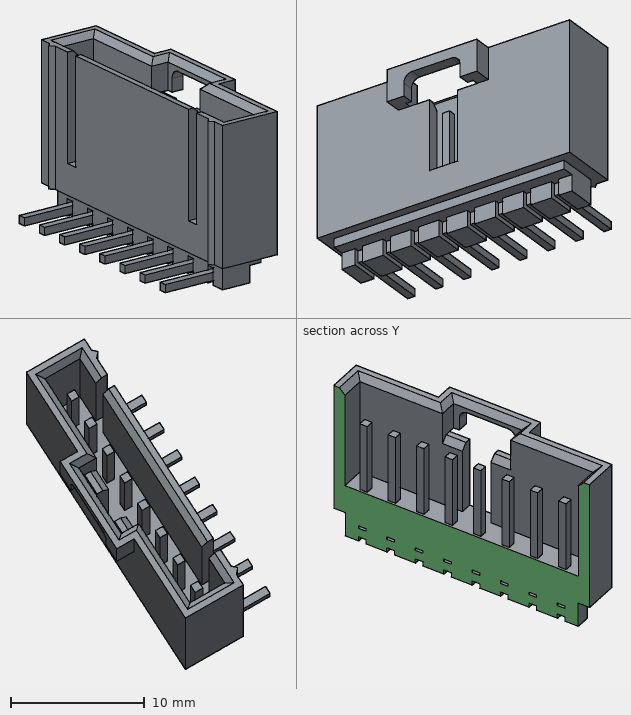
import cadquery as cq


pin_count = 8
pitch = 2.54
pin_size = 0.66
pin_height = 6.1
tail_end_y = -6.226
bend_chamfer = 0.35

shell_length = (pin_count + 1) * pitch
shell_width = 5.08
shell_height = 11.43
wall = 1.016
lip = wall / 2
floor_z = 2.54

tab_length = 8.128
tab_reach = 1.524
tab_height = 2.77
key_slot_width = 2.54
window_width = 5.08
window_top_depth = 0.89
window_radius = 0.76

front_slot_width = wall
front_slot_spacing = 15.24
rib_width = 0.74
rib_height = 0.35
rib_inset = wall + rib_width / 2

base_length = shell_length - 2 * wall
base_height = 2.16
base_front_inset = 0.76
base_rear_inset = 0.76
foot_rear_inset = 1.79
base_step = 0.76

front_y = -shell_width / 2
rear_y = shell_width / 2
tab_bottom_z = shell_height - tab_height
tail_top_z = -base_step - bend_chamfer
tail_bottom_z = tail_top_z - pin_size
pin_positions = [(i - (pin_count - 1) / 2) * pitch for i in range(pin_count)]


def box(x_center, length, y_min, y_max, z_min, z_max):
    """Axis-aligned block centred on x_center."""
    size = (length, y_max - y_min, z_max - z_min)
    corner = (x_center - length / 2, y_min, z_min)
    return cq.Workplane("XY").box(*size, centered=False).translate(corner)


def flared_opening(length, y_min, y_max, z_min, flare_z):
    """Straight opening from z_min upward, widening at 45 degrees by one lip above flare_z."""
    straight = box(0, length, y_min, y_max, z_min, flare_z + lip)
    flare = (
        cq.Workplane("XY", origin=(0, (y_min + y_max) / 2, flare_z))
        .rect(length, y_max - y_min)
        .workplane(offset=lip)
        .rect(length + 2 * lip, y_max - y_min + 2 * lip)
        .loft(ruled=True)
    )
    return straight.union(flare)


def make_window():
    """Notch through the rear of the tab, open below, with rounded upper corners."""
    top_z = shell_height - window_top_depth
    inner_y = rear_y + tab_reach - wall
    window = box(0, window_width, inner_y, rear_y + tab_reach, tab_bottom_z, top_z)
    return window.edges("|Y and >Z").fillet(window_radius)


def make_rib(x_center):
    """Full-height V-shaped rib on the front wall."""
    return (
        cq.Workplane("XY")
        .moveTo(x_center - rib_width / 2, front_y)
        .lineTo(x_center, front_y - rib_height)
        .lineTo(x_center + rib_width / 2, front_y)
        .close()
        .extrude(shell_height)
    )


def make_shell():
    shell = box(0, shell_length, front_y, rear_y, 0, shell_height)
    shell = shell.union(box(0, tab_length, rear_y - wall, rear_y + tab_reach, tab_bottom_z, shell_height))

    cavity_length = shell_length - 2 * wall
    cavity_front_y = front_y + wall
    cavity_rear_y = rear_y - wall
    flare_z = shell_height - lip
    shell = shell.cut(flared_opening(cavity_length, cavity_front_y, cavity_rear_y, floor_z, flare_z))

    tab_opening_length = tab_length - 2 * wall
    tab_inner_y = rear_y + tab_reach - wall
    shell = shell.cut(flared_opening(tab_opening_length, cavity_rear_y - lip, tab_inner_y, tab_bottom_z, flare_z))
    sill_bevel = (
        cq.Workplane("YZ", origin=(-tab_opening_length / 2, 0, 0))
        .moveTo(cavity_rear_y, tab_bottom_z)
        .lineTo(cavity_rear_y + lip, tab_bottom_z)
        .lineTo(cavity_rear_y, tab_bottom_z - lip)
        .close()
        .extrude(tab_opening_length)
    )
    shell = shell.cut(sill_bevel)
    shell = shell.cut(box(0, key_slot_width, cavity_rear_y, rear_y, floor_z, tab_bottom_z))
    shell = shell.cut(make_window())

    for side in (-1, 1):
        slot_x = side * front_slot_spacing / 2
        shell = shell.cut(box(slot_x, front_slot_width, front_y, cavity_front_y, floor_z, shell_height))
        shell = shell.union(make_rib(side * (shell_length / 2 - rib_inset)))
    return shell


def make_base():
    base_front_y = front_y + base_front_inset
    foot_rear_y = rear_y - foot_rear_inset
    base = box(0, base_length, base_front_y, rear_y - base_rear_inset, -base_step, 0)
    base = base.union(box(0, base_length, base_front_y, foot_rear_y, -base_height, -base_step))
    for x in pin_positions:
        base = base.cut(box(x, pin_size, base_front_y, foot_rear_y, -base_height, -base_step))
    return base


def make_pin(x_center):
    """L-shaped contact with a chamfered inside bend."""
    half = pin_size / 2
    return (
        cq.Workplane("YZ", origin=(x_center - half, 0, 0))
        .moveTo(half, tail_bottom_z)
        .lineTo(half, floor_z + pin_height)
        .lineTo(-half, floor_z + pin_height)
        .lineTo(-half, tail_top_z + bend_chamfer)
        .lineTo(-half - bend_chamfer, tail_top_z)
        .lineTo(tail_end_y, tail_top_z)
        .lineTo(tail_end_y, tail_bottom_z)
        .close()
        .extrude(pin_size)
    )


result = make_shell().union(make_base())
for pin_x in pin_positions:
    result = result.union(make_pin(pin_x))